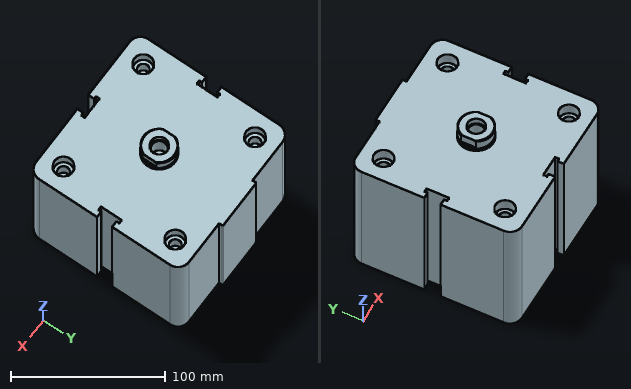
import cadquery as cq


HOUSING_WIDTH = 122.0
HOUSING_HEIGHT = 96.5
CORNER_RADIUS = 9.0
HALF_WIDTH = HOUSING_WIDTH / 2

PAD_WIDTH = 37.4
PAD_HEIGHT = 3.0
PAD_EDGE_RADIUS = 0.5

SLOT_MOUTH_WIDTH = 12.0
SLOT_HEAD_WIDTH = 16.4
SLOT_DEPTH = 7.5
SLOT_LIP = 4.8
SLOT_ANGLES = (0, 90, -90)

HOLE_SPACING = 89.0
HOLE_DIAMETER = 8.38
HOLE_DEPTH = 19.5
COUNTERBORE_DIAMETER = 14.0
COUNTERBORE_DEPTH = 9.0

ROD_DIAMETER = 25.0
ROD_SEAT_DEPTH = 19.5
SHOULDER_HEIGHT = 2.0

ROD_END_DIAMETER = 24.5
ROD_END_TOP = 10.0
ROD_END_CHAMFER = 0.5
FLATS_WIDTH = 21.8
FLATS_HEIGHT = 7.0

RELIEF_DIAMETER = 12.5
RELIEF_DEPTH = 5.0
ROD_HOLE_DIAMETER = 11.0
ROD_HOLE_DEPTH = 20.0


def cylinder(diameter, bottom, height):
    return cq.Workplane("XY").workplane(offset=bottom).circle(diameter / 2).extrude(height)


def housing_prism(outline):
    """Extrude an outline over the full height of the housing."""
    return outline.extrude(-HOUSING_HEIGHT)


def side_pad():
    outline = cq.Workplane("XY").center(0, HALF_WIDTH / 2 + PAD_HEIGHT / 2)
    pad = housing_prism(outline.rect(PAD_WIDTH, HALF_WIDTH + PAD_HEIGHT))
    return pad.edges("|Z and >Y").fillet(PAD_EDGE_RADIUS)


def t_slot(angle):
    """Cutter for a slot on the -Y side, turned about Z to its own side."""
    floor_y = SLOT_DEPTH - HALF_WIDTH
    lip_y = SLOT_LIP - HALF_WIDTH
    mouth_x = SLOT_MOUTH_WIDTH / 2
    head_x = SLOT_HEAD_WIDTH / 2
    half_outline = [
        (0, -HALF_WIDTH),
        (mouth_x, -HALF_WIDTH),
        (mouth_x, lip_y),
        (head_x, lip_y),
        (head_x, floor_y),
        (0, floor_y),
    ]
    outline = cq.Workplane("XY").polyline(half_outline).mirrorY()
    return housing_prism(outline).rotate((0, 0, 0), (0, 0, 1), angle)


def mounting_holes():
    """Cutter for the four counterbored holes."""
    centers = cq.Workplane("XY").rect(HOLE_SPACING, HOLE_SPACING, forConstruction=True).vertices()
    holes = centers.circle(HOLE_DIAMETER / 2).extrude(-HOLE_DEPTH)
    counterbores = centers.circle(COUNTERBORE_DIAMETER / 2).extrude(-COUNTERBORE_DEPTH)
    return holes.union(counterbores)


def make_housing():
    block = housing_prism(cq.Workplane("XY").rect(HOUSING_WIDTH, HOUSING_WIDTH))
    body = block.edges("|Z").fillet(CORNER_RADIUS).union(side_pad())
    for angle in SLOT_ANGLES:
        body = body.cut(t_slot(angle))
    body = body.cut(mounting_holes())
    rod_bore = cylinder(ROD_DIAMETER, -ROD_SEAT_DEPTH, ROD_SEAT_DEPTH)
    return body.cut(rod_bore)


def make_rod_end():
    rod_end = cylinder(ROD_END_DIAMETER, SHOULDER_HEIGHT, ROD_END_TOP - SHOULDER_HEIGHT)
    rod_end = rod_end.faces(">Z").edges().chamfer(ROD_END_CHAMFER)
    flats_zone = cylinder(ROD_END_DIAMETER, ROD_END_TOP, -FLATS_HEIGHT)
    between_flats = (
        cq.Workplane("XY")
        .workplane(offset=ROD_END_TOP)
        .rect(FLATS_WIDTH, ROD_DIAMETER)
        .extrude(-FLATS_HEIGHT)
    )
    return rod_end.cut(flats_zone.cut(between_flats))


def make_rod():
    shank = cylinder(ROD_DIAMETER, -ROD_SEAT_DEPTH, ROD_SEAT_DEPTH + SHOULDER_HEIGHT)
    shoulder_chamfer = (ROD_DIAMETER - ROD_END_DIAMETER) / 2
    shank = shank.faces(">Z").edges().chamfer(shoulder_chamfer)
    rod = shank.union(make_rod_end())
    rod = rod.cut(cylinder(RELIEF_DIAMETER, ROD_END_TOP, -RELIEF_DEPTH))
    return rod.cut(cylinder(ROD_HOLE_DIAMETER, ROD_END_TOP, -ROD_HOLE_DEPTH))


housing = make_housing()
rod = make_rod()

result = cq.Compound.makeCompound([housing.val(), rod.val()])